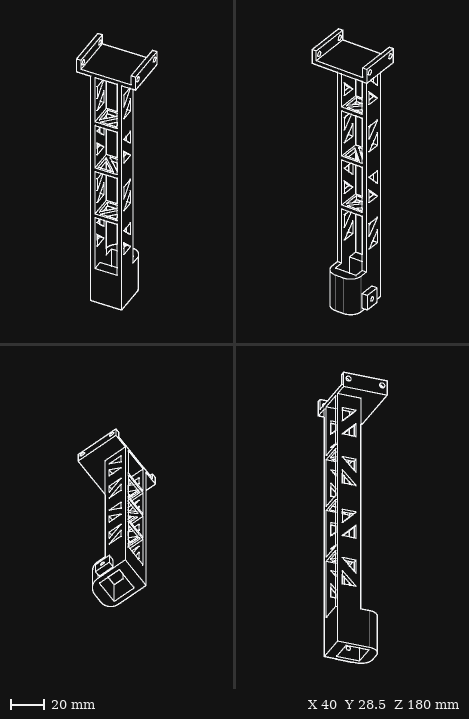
import cadquery as cq
import math

TOTAL_HEIGHT = 180.0
TOTAL_DEPTH = 28.5
WALL = 3.0

COLUMN_WIDTH = 21.0
COLUMN_DEPTH = 15.1
INNER_WIDTH = COLUMN_WIDTH - 2 * WALL
RUNG_THICKNESS = 2.9
RUNG_TOPS = (136.6, 101.7, 66.8)
RUNG_MARGIN = 1.5
RUNG_STRUT_WIDTH = 2.3

WINDOW_LEG = COLUMN_DEPTH - 2 * WALL
WINDOW_CENTRES = (152.1, 118.5, 82.3, 49.1)

FOOT_HEIGHT = 25.4
FOOT_CORNER_RADIUS = 7.5
SOCKET_SIZE = INNER_WIDTH

BOSS_SIZE = 10.5
BOSS_THICKNESS = 3.8
BOSS_CENTRE_Y = 14.4
BOSS_CENTRE_Z = 7.2
BOSS_HOLE_DIAMETER = 2.7

HEAD_WIDTH = 40.0
HEAD_HEIGHT = 9.9
HEAD_HOLE_DIAMETER = 3.2
HEAD_HOLE_EDGE_DISTANCE = 3.2
HEAD_HOLE_DROP = 3.8
HEAD_BOTTOM = TOTAL_HEIGHT - HEAD_HEIGHT


def block(x_range, y_range, z_range):
    """Axis-aligned box between the given limits."""
    (x0, x1), (y0, y1), (z0, z1) = x_range, y_range, z_range
    return cq.Workplane("XY").box(x1 - x0, y1 - y0, z1 - z0, centered=False).translate((x0, y0, z0))


def centred(size, middle=0.0):
    """Limits of a span of the given size around its middle."""
    return (middle - size / 2, middle + size / 2)


def make_foot():
    """Solid block with its two rear corners rounded."""
    foot = block(centred(COLUMN_WIDTH), (0, TOTAL_DEPTH), (0, FOOT_HEIGHT))
    return foot.edges("|Z and >Y").fillet(FOOT_CORNER_RADIUS)


def make_socket():
    """Square passage through the foot, midway along its depth."""
    return block(centred(SOCKET_SIZE), centred(SOCKET_SIZE, TOTAL_DEPTH / 2), (0, FOOT_HEIGHT))


def make_boss():
    """Square pad standing out from the left side of the foot."""
    left_side = -COLUMN_WIDTH / 2
    return block(
        (left_side - BOSS_THICKNESS, left_side),
        centred(BOSS_SIZE, BOSS_CENTRE_Y),
        centred(BOSS_SIZE, BOSS_CENTRE_Z),
    )


def make_boss_hole():
    """Screw hole from the boss into the socket."""
    hole = cq.Workplane("YZ").center(BOSS_CENTRE_Y, BOSS_CENTRE_Z).circle(BOSS_HOLE_DIAMETER / 2)
    return hole.extrude(-COLUMN_WIDTH / 2 - BOSS_THICKNESS)


def make_posts():
    """Two side posts from the foot to the head."""
    column = block(centred(COLUMN_WIDTH), (0, COLUMN_DEPTH), (FOOT_HEIGHT, HEAD_BOTTOM))
    gap = block(centred(INNER_WIDTH), (0, COLUMN_DEPTH), (FOOT_HEIGHT, HEAD_BOTTOM))
    return column.cut(gap)


def make_window_pair(centre_z, rising):
    """Two triangles through both posts; the strut between them rises or falls with Y."""
    direction = 1 if rising else -1
    upper_points = [
        (-direction * WINDOW_LEG / 2, 0),
        (-direction * WINDOW_LEG / 2, WINDOW_LEG),
        (direction * WINDOW_LEG / 2, WINDOW_LEG),
    ]
    lower_points = [(-y, -z) for y, z in upper_points]
    plane = cq.Workplane("YZ").center(COLUMN_DEPTH / 2, centre_z)
    outlines = plane.polyline(upper_points).close().polyline(lower_points).close()
    return outlines.extrude(COLUMN_WIDTH, both=True)


def make_rung(top_z, rising):
    """Flat plate between the posts, opened by two triangles beside a diagonal strut."""
    half_x = INNER_WIDTH / 2 - RUNG_MARGIN
    half_y = COLUMN_DEPTH / 2 - RUNG_MARGIN
    strut_offset = RUNG_STRUT_WIDTH / math.sqrt(2)
    direction = 1 if rising else -1
    front_points = [
        (direction * (strut_offset - half_x), -half_y),
        (direction * half_x, -half_y),
        (direction * half_x, half_y - strut_offset),
    ]
    back_points = [(-x, -y) for x, y in front_points]
    plate = block(centred(INNER_WIDTH), (0, COLUMN_DEPTH), (top_z - RUNG_THICKNESS, top_z))
    plane = cq.Workplane("XY", origin=(0, COLUMN_DEPTH / 2, top_z))
    openings = plane.polyline(front_points).close().polyline(back_points).close()
    return plate.cut(openings.extrude(-RUNG_THICKNESS))


def make_head():
    """Upward-opening U bracket with two holes through each upright."""
    depth = (0, TOTAL_DEPTH)
    head = block(centred(HEAD_WIDTH), depth, (HEAD_BOTTOM, TOTAL_HEIGHT))
    channel = block(centred(HEAD_WIDTH - 2 * WALL), depth, (HEAD_BOTTOM + WALL, TOTAL_HEIGHT))
    hole_positions = [
        (HEAD_HOLE_EDGE_DISTANCE, TOTAL_HEIGHT - HEAD_HOLE_DROP),
        (TOTAL_DEPTH - HEAD_HOLE_EDGE_DISTANCE, TOTAL_HEIGHT - HEAD_HOLE_DROP),
    ]
    holes = cq.Workplane("YZ").pushPoints(hole_positions).circle(HEAD_HOLE_DIAMETER / 2)
    return head.cut(channel).cut(holes.extrude(HEAD_WIDTH, both=True))


result = make_foot().union(make_boss()).cut(make_socket()).cut(make_boss_hole())

posts = make_posts()
for index, centre_z in enumerate(WINDOW_CENTRES):
    posts = posts.cut(make_window_pair(centre_z, rising=index % 2 == 0))
result = result.union(posts)

for index, top_z in enumerate(RUNG_TOPS):
    result = result.union(make_rung(top_z, rising=index % 2 == 0))

result = result.union(make_head())